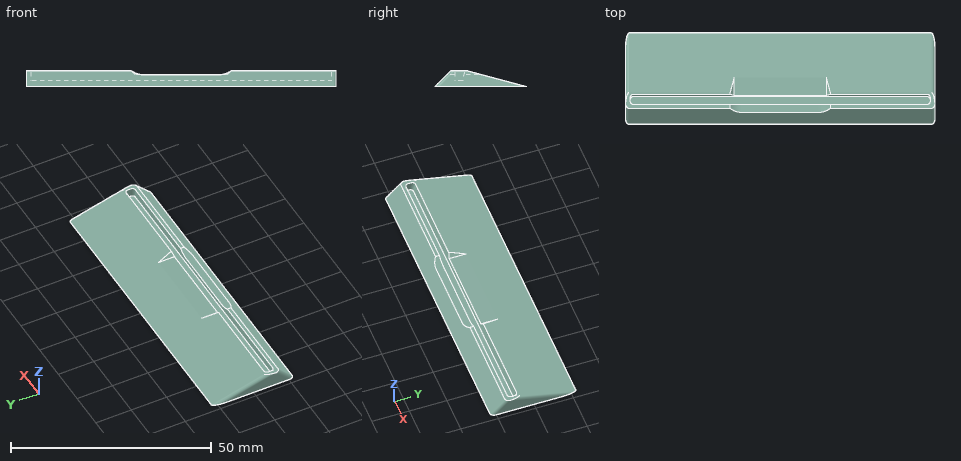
import cadquery as cq
import math

LENGTH = 77.4
HEIGHT = 4.0
BACK_ANGLE = 15.0
FRONT_ANGLE = 45.0
LAND_WIDTH = 4.0
EDGE_RADIUS = 1.0

SLOT_LENGTH = 75.0
SLOT_WIDTH = 2.0
SLOT_DEPTH = 2.5
SLOT_FRONT_MARGIN = 1.0
SLOT_CORNER_RADIUS = 0.8
LEAN_DEPTH = 2.0
LEAN_CORNER_RADIUS = 0.8

NOTCH_DEPTH = 1.0
NOTCH_WIDTH = 25.0
NOTCH_ARC_RADIUS = 5.0

BACK_RUN = HEIGHT / math.tan(math.radians(BACK_ANGLE))
FRONT_RUN = HEIGHT / math.tan(math.radians(FRONT_ANGLE))
DEPTH = BACK_RUN + LAND_WIDTH + FRONT_RUN
FRONT_Y = -DEPTH / 2
BACK_Y = DEPTH / 2
LAND_FRONT_Y = FRONT_Y + FRONT_RUN
SLOT_FRONT_Y = LAND_FRONT_Y + SLOT_FRONT_MARGIN
SLOT_MIDDLE_Y = SLOT_FRONT_Y + SLOT_WIDTH / 2
SLOT_BACK_Y = SLOT_FRONT_Y + SLOT_WIDTH
MOUTH_BACK_Y = SLOT_BACK_Y + LEAN_DEPTH * math.tan(math.radians(BACK_ANGLE))
NOTCH_FLOOR_Z = HEIGHT - NOTCH_DEPTH


def rounded_bar(face_y, face_z, facing, width, radius):
    """Long bar with rounded edges, whose outer face contains the line y = face_y, z = face_z.

    `facing` is the tilt in degrees of the face's outward normal, from +Z toward +Y.
    """
    tilt = math.radians(facing)
    along = cq.Vector(0, -math.cos(tilt), math.sin(tilt))
    section = cq.Plane(origin=(0, face_y, face_z), xDir=(1, 0, 0), normal=along.toTuple())
    return (
        cq.Workplane(section)
        .center(0, -DEPTH / 2)
        .rect(width, DEPTH)
        .extrude(DEPTH, both=True)
        .edges(cq.selectors.ParallelDirSelector(along))
        .fillet(radius)
    )


def wedge():
    """Flat-topped wedge whose slopes blend into the end faces."""
    block = cq.Workplane("XY").box(LENGTH, DEPTH, HEIGHT, centered=(True, True, False))
    front_slope = rounded_bar(FRONT_Y, 0, -FRONT_ANGLE, LENGTH, EDGE_RADIUS)
    back_slope = rounded_bar(BACK_Y, 0, BACK_ANGLE, LENGTH, EDGE_RADIUS)
    return block.intersect(front_slope).intersect(back_slope)


def upright_slot():
    """Blind slot with upright walls."""
    return (
        cq.Workplane("XY", origin=(0, SLOT_MIDDLE_Y, HEIGHT))
        .rect(SLOT_LENGTH, SLOT_WIDTH)
        .extrude(-SLOT_DEPTH)
        .edges("|Z")
        .fillet(SLOT_CORNER_RADIUS)
    )


def leaning_back():
    """Relief behind the upright slot, whose back wall is square to the back slope."""
    wall_facing = 90 + BACK_ANGLE
    bar = rounded_bar(MOUTH_BACK_Y, HEIGHT, wall_facing, SLOT_LENGTH, LEAN_CORNER_RADIUS)
    space_behind = (
        cq.Workplane("XY", origin=(0, SLOT_MIDDLE_Y, HEIGHT - LEAN_DEPTH))
        .box(LENGTH, DEPTH, LEAN_DEPTH, centered=(True, False, False))
    )
    return bar.intersect(space_behind)


def back_notch():
    """Notch behind the slot, with 45 degree sides."""
    half_top = NOTCH_WIDTH / 2
    half_floor = half_top - NOTCH_DEPTH
    return (
        cq.Workplane("XZ", origin=(0, SLOT_MIDDLE_Y, 0))
        .moveTo(-half_floor, NOTCH_FLOOR_Z)
        .lineTo(half_floor, NOTCH_FLOOR_Z)
        .lineTo(half_top, HEIGHT)
        .lineTo(-half_top, HEIGHT)
        .close()
        .extrude(-DEPTH)
    )


def front_notch():
    """Notch in front of the slot, whose sides are arcs tangent to its floor."""
    half_top = NOTCH_WIDTH / 2
    side_run = math.sqrt(NOTCH_ARC_RADIUS**2 - (NOTCH_ARC_RADIUS - NOTCH_DEPTH) ** 2)
    half_floor = half_top - side_run
    half_sweep = math.asin(side_run / NOTCH_ARC_RADIUS) / 2
    mid_x = half_floor + NOTCH_ARC_RADIUS * math.sin(half_sweep)
    mid_z = NOTCH_FLOOR_Z + NOTCH_ARC_RADIUS * (1 - math.cos(half_sweep))
    return (
        cq.Workplane("XZ", origin=(0, SLOT_MIDDLE_Y, 0))
        .moveTo(-half_floor, NOTCH_FLOOR_Z)
        .lineTo(half_floor, NOTCH_FLOOR_Z)
        .threePointArc((mid_x, mid_z), (half_top, HEIGHT))
        .lineTo(-half_top, HEIGHT)
        .threePointArc((-mid_x, mid_z), (-half_floor, NOTCH_FLOOR_Z))
        .close()
        .extrude(DEPTH)
    )


result = wedge().cut(upright_slot()).cut(leaning_back()).cut(back_notch()).cut(front_notch())